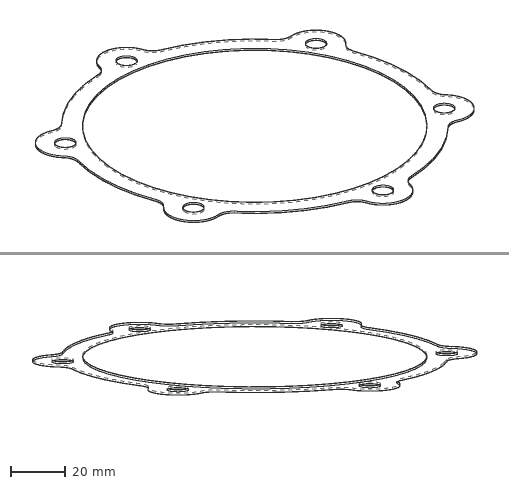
import cadquery as cq
import math

thickness = 0.79
bore_diameter = 127.25
ring_radius = 71.44
lobe_count = 6
lobe_radius = 11.07
hole_diameter = 7.94
blend_radius = 6.35

bolt_circle_radius = ring_radius
lobe_pitch = 2 * math.pi / lobe_count
blend_center_radius = ring_radius + blend_radius
blend_to_lobe = lobe_radius + blend_radius

blend_angle = math.acos(
    (bolt_circle_radius**2 + blend_center_radius**2 - blend_to_lobe**2)
    / (2 * bolt_circle_radius * blend_center_radius)
)


def polar(radius, angle):
    """Point at the given radius and angle about the ring center."""
    return (radius * math.cos(angle), radius * math.sin(angle))


def point_toward(start, target, distance):
    """Point at the given distance from start on the line to target."""
    scale = distance / math.dist(start, target)
    return tuple(s + scale * (t - s) for s, t in zip(start, target))


def blend_points(lobe_angle, side):
    """Ring end, middle and lobe end of the blend on one side (-1 or +1) of a lobe."""
    lobe_center = polar(bolt_circle_radius, lobe_angle)
    blend_center = polar(blend_center_radius, lobe_angle + side * blend_angle)
    ring_end = polar(ring_radius, lobe_angle + side * blend_angle)
    lobe_end = point_toward(blend_center, lobe_center, blend_radius)
    chord_middle = tuple((a + b) / 2 for a, b in zip(ring_end, lobe_end))
    middle = point_toward(blend_center, chord_middle, blend_radius)
    return ring_end, middle, lobe_end


def gasket_blank():
    """Solid plate whose outline is a circle with evenly spaced, blended lobes."""
    outline = cq.Workplane("XY").moveTo(*polar(ring_radius, -blend_angle))
    for index in range(lobe_count):
        lobe_angle = index * lobe_pitch
        _, entry_middle, entry_lobe = blend_points(lobe_angle, -1)
        exit_ring, exit_middle, exit_lobe = blend_points(lobe_angle, 1)
        lobe_tip = polar(bolt_circle_radius + lobe_radius, lobe_angle)
        ring_middle = polar(ring_radius, lobe_angle + lobe_pitch / 2)
        next_ring = polar(ring_radius, lobe_angle + lobe_pitch - blend_angle)

        outline = outline.threePointArc(entry_middle, entry_lobe)
        outline = outline.threePointArc(lobe_tip, exit_lobe)
        outline = outline.threePointArc(exit_middle, exit_ring)
        outline = outline.threePointArc(ring_middle, next_ring)
    return outline.close().extrude(thickness)


def bore():
    """Cutter for the large central opening."""
    return cq.Workplane("XY").circle(bore_diameter / 2).extrude(thickness)


def bolt_holes():
    """Cutter for one hole at the center of each lobe."""
    return (
        cq.Workplane("XY")
        .polarArray(bolt_circle_radius, 0, 360, lobe_count)
        .circle(hole_diameter / 2)
        .extrude(thickness)
    )


result = gasket_blank().cut(bore()).cut(bolt_holes())